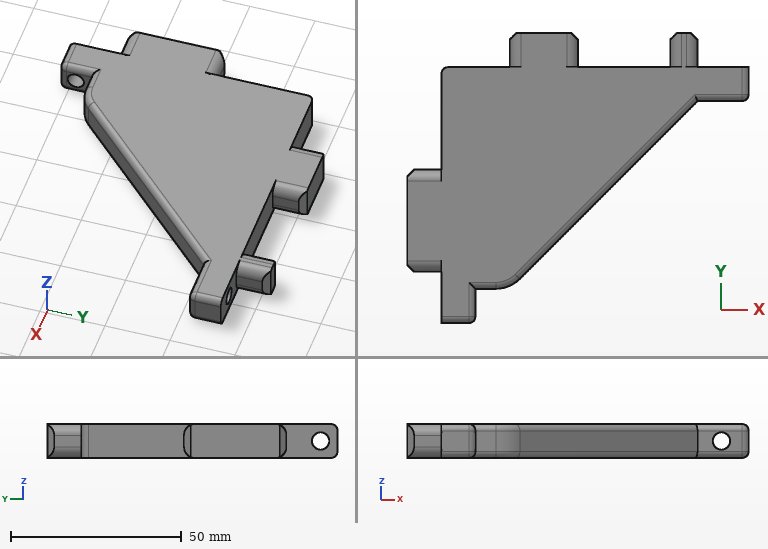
import cadquery as cq

thickness = 10.0
plate_length_x = 90.0
plate_length_y = 75.0
leg_width = 10.0
diagonal_start_x = 75.0
foot_y = -65.0
bend_radius = 10.0
edge_radius = 2.0
corner_radius = 2.0

tab_reach = 10.0
tab_radius = 3.3
tab_chamfer = 2.0
top_tabs = [(20.0, 40.0), (67.0, 75.0)]
side_tab = (-60.0, -30.0)

hole_diameter = 5.0
x_leg_hole_x = 82.0
y_leg_hole_y = -70.0

mid_z = thickness / 2
foot_end_x = diagonal_start_x + foot_y + leg_width


def make_plate():
    """Triangular plate with two legs and rounded edges on its inner side."""
    plate = (
        cq.Workplane("XY")
        .moveTo(0, 0)
        .lineTo(plate_length_x, 0)
        .lineTo(plate_length_x, -leg_width)
        .lineTo(diagonal_start_x, -leg_width)
        .lineTo(foot_end_x, foot_y)
        .lineTo(leg_width, foot_y)
        .lineTo(leg_width, -plate_length_y)
        .lineTo(0, -plate_length_y)
        .close()
        .extrude(thickness)
    )

    def upright_edge(x, y):
        return cq.selectors.NearestToPointSelector((x, y, mid_z))

    plate = plate.edges(upright_edge(foot_end_x, foot_y)).fillet(bend_radius)
    plate = plate.edges(upright_edge(0, 0)).fillet(corner_radius)

    margin = edge_radius / 2
    low_z = -margin
    high_z = thickness + margin
    back_side = cq.selectors.BoxSelector(
        (-margin, -margin, low_z), (plate_length_x, margin, high_z)
    )
    left_side = cq.selectors.BoxSelector(
        (-margin, -plate_length_y, low_z), (margin, margin, high_z)
    )
    outer_sides = back_side + left_side
    rim = cq.selectors.StringSyntaxSelector("#Z or %CIRCLE") - outer_sides
    leg_corners = (
        upright_edge(plate_length_x, -leg_width)
        + upright_edge(leg_width, -plate_length_y)
    )
    return plate.edges(rim + leg_corners).fillet(edge_radius)


def make_tab(width):
    """Tab pointing along +Y from Y = 0, starting at X = 0."""
    return (
        cq.Workplane("XY")
        .box(width, tab_reach, thickness, centered=False)
        .edges("|Y")
        .fillet(tab_radius)
        .intersect(
            cq.Workplane("XY")
            .box(width, tab_reach, thickness, centered=False)
            .edges("|Z and >Y")
            .chamfer(tab_chamfer)
        )
    )


result = make_plate()

for start, end in top_tabs:
    result = result.union(make_tab(end - start).translate((start, 0, 0)))

side_start, side_end = side_tab
turned_tab = make_tab(side_end - side_start).rotate((0, 0, 0), (0, 0, 1), 90)
result = result.union(turned_tab.translate((0, side_start, 0)))

x_leg_hole = (
    cq.Workplane("XZ")
    .center(x_leg_hole_x, mid_z)
    .circle(hole_diameter / 2)
    .extrude(leg_width)
)
y_leg_hole = (
    cq.Workplane("YZ")
    .center(y_leg_hole_y, mid_z)
    .circle(hole_diameter / 2)
    .extrude(leg_width)
)
result = result.cut(x_leg_hole).cut(y_leg_hole)